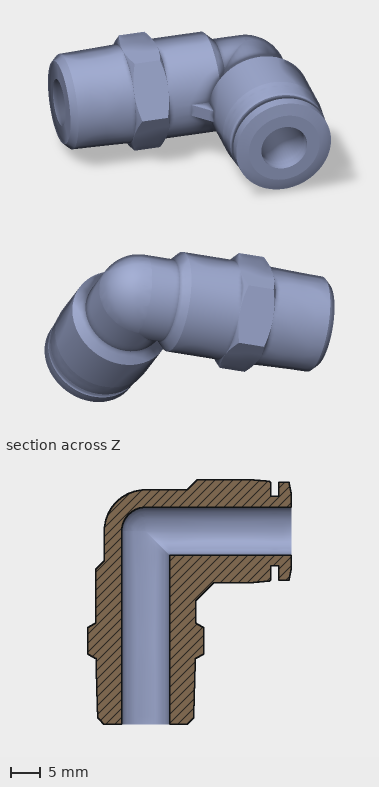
import cadquery as cq
import math

ELBOW_RADIUS = 7.0
BORE_RADIUS = 4.0

STUD_RADIUS = 8.5
STUD_FLARE_START = 4.95
STUD_FLARE_END = 6.48
HEX_START = 15.45
HEX_END = 21.45
HEX_ACROSS_FLATS = 2 * STUD_RADIUS
HEX_CHAMFER_ANGLE = 30.0
THREAD_START_RADIUS = 8.4
THREAD_END_RADIUS = 8.13
THREAD_END = 31.4
STUD_TIP_RADIUS = 7.1
STUD_END = 32.5

SOCKET_RADIUS = 8.75
SOCKET_FLARE_START = 6.97
SOCKET_FLARE_END = SOCKET_FLARE_START + SOCKET_RADIUS - ELBOW_RADIUS
SOCKET_TAPER_START = 17.45
COLLAR_START = 19.75
COLLAR_START_RADIUS = 8.55
COLLAR_CHAMFER = 0.25
COLLAR_END = 21.08
COLLAR_RADIUS = 8.45
NECK_RADIUS = 5.9
FLANGE_START = 22.35
FLANGE_RADIUS = 8.3
FLANGE_RIM_END = 24.17
FLANGE_FACE_RADIUS = 6.2
SOCKET_END = 24.6

GUSSET_THICKNESS = 2.1
GUSSET_CORNER = ELBOW_RADIUS
GUSSET_REACH = 20.17 - GUSSET_CORNER


def stud_turning(profile):
    """Revolve (radius, distance) points about the stud axis."""
    points = [(radius, -distance) for radius, distance in profile]
    return cq.Workplane("XY").polyline(points).close().revolve(360, (0, 0), (0, 1))


def socket_turning(profile):
    """Revolve (radius, distance) points about the socket axis."""
    points = [(distance, radius) for radius, distance in profile]
    return cq.Workplane("XY").polyline(points).close().revolve(360, (0, 0), (1, 0))


def make_stud():
    return stud_turning([
        (0, 0),
        (ELBOW_RADIUS, 0),
        (ELBOW_RADIUS, STUD_FLARE_START),
        (STUD_RADIUS, STUD_FLARE_END),
        (STUD_RADIUS, HEX_END),
        (THREAD_START_RADIUS, HEX_END),
        (THREAD_END_RADIUS, THREAD_END),
        (STUD_TIP_RADIUS, STUD_END),
        (0, STUD_END),
    ])


def make_hex():
    """Hexagon with corners on X, its corners turned off conically at both ends."""
    corner_radius = HEX_ACROSS_FLATS / 2 / math.cos(math.radians(30))
    chamfer = (corner_radius - STUD_RADIUS) * math.tan(math.radians(HEX_CHAMFER_ANGLE))
    prism = (
        cq.Workplane("XZ", origin=(0, -HEX_START, 0))
        .polygon(6, 2 * corner_radius)
        .extrude(HEX_END - HEX_START)
    )
    envelope = stud_turning([
        (0, HEX_START),
        (STUD_RADIUS, HEX_START),
        (corner_radius, HEX_START + chamfer),
        (corner_radius, HEX_END - chamfer),
        (STUD_RADIUS, HEX_END),
        (0, HEX_END),
    ])
    return prism.intersect(envelope)


def make_socket():
    return socket_turning([
        (0, 0),
        (ELBOW_RADIUS, 0),
        (ELBOW_RADIUS, SOCKET_FLARE_START),
        (SOCKET_RADIUS, SOCKET_FLARE_END),
        (SOCKET_RADIUS, SOCKET_TAPER_START),
        (COLLAR_START_RADIUS, COLLAR_START),
        (COLLAR_RADIUS, COLLAR_END - COLLAR_CHAMFER),
        (COLLAR_RADIUS - COLLAR_CHAMFER, COLLAR_END),
        (NECK_RADIUS, COLLAR_END),
        (NECK_RADIUS, FLANGE_START),
        (FLANGE_RADIUS, FLANGE_START),
        (FLANGE_RADIUS, FLANGE_RIM_END),
        (FLANGE_FACE_RADIUS, SOCKET_END),
        (0, SOCKET_END),
    ])


def make_gusset():
    return (
        cq.Workplane("XY")
        .polyline([
            (GUSSET_CORNER, -GUSSET_CORNER),
            (GUSSET_REACH, -GUSSET_CORNER),
            (GUSSET_CORNER, -GUSSET_REACH),
        ])
        .close()
        .extrude(GUSSET_THICKNESS / 2, both=True)
    )


def make_bore():
    """Passage through both legs, with a spherical turn at the elbow."""
    stud_bore = cq.Workplane("XZ").circle(BORE_RADIUS).extrude(STUD_END)
    socket_bore = cq.Workplane("YZ").circle(BORE_RADIUS).extrude(SOCKET_END)
    return stud_bore.union(socket_bore).union(cq.Workplane("XY").sphere(BORE_RADIUS))


elbow = cq.Workplane("XY").sphere(ELBOW_RADIUS)
body = elbow.union(make_stud()).union(make_socket()).union(make_hex()).union(make_gusset())
result = body.cut(make_bore())